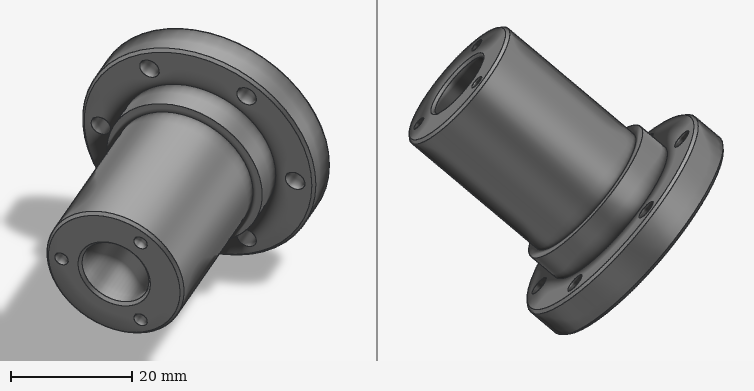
import cadquery as cq

total_length = 40.5
flange_thickness = 6.5
collar_length = 5.5
flange_start = total_length - flange_thickness
collar_start = flange_start - collar_length

flange_diameter = 42.0
collar_diameter = 28.0
sleeve_diameter = 24.7
bore_diameter = 12.0
edge_chamfer = 0.5

bolt_hole_diameter = 3.5
bolt_circle_diameter = 35.0
bolt_hole_count = 6

end_hole_diameter = 2.4
end_hole_circle_diameter = 19.0
end_hole_count = 3
end_hole_depth = 5.05

FIRST_HOLE_ANGLE = 180


def cylinder(diameter, start, end):
    """Solid cylinder on the Y axis between two Y positions."""
    plane = cq.Workplane("XZ", origin=(0, start, 0))
    return plane.circle(diameter / 2).extrude(start - end)


def hole_pattern(diameter, circle_diameter, count, start, end):
    """Ring of equally spaced cylinders parallel to the Y axis."""
    plane = cq.Workplane("XZ", origin=(0, start, 0))
    ring = plane.polarArray(circle_diameter / 2, FIRST_HOLE_ANGLE, 360, count)
    return ring.circle(diameter / 2).extrude(start - end)


flange = cylinder(flange_diameter, flange_start, total_length)
flange = flange.faces("<Y or >Y").chamfer(edge_chamfer)
collar = cylinder(collar_diameter, collar_start, flange_start)
sleeve = cylinder(sleeve_diameter, 0, collar_start)
sleeve = sleeve.faces("<Y").chamfer(edge_chamfer)
body = flange.union(collar).union(sleeve)

body = body.cut(cylinder(bore_diameter, 0, total_length))
bore_mouths = cq.selectors.RadiusNthSelector(0)
body = body.edges("%CIRCLE").edges(bore_mouths).chamfer(edge_chamfer)

bolt_holes = hole_pattern(
    bolt_hole_diameter, bolt_circle_diameter, bolt_hole_count, flange_start, total_length
)
end_holes = hole_pattern(
    end_hole_diameter, end_hole_circle_diameter, end_hole_count, 0, end_hole_depth
)
result = body.cut(bolt_holes).cut(end_holes)